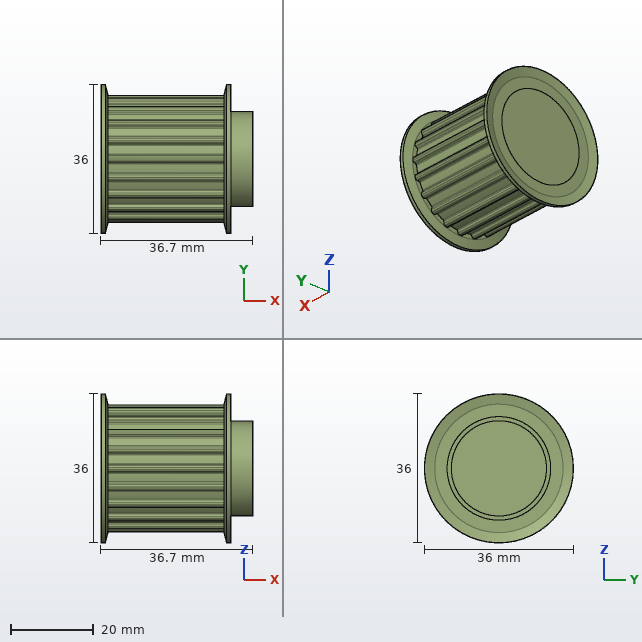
import cadquery as cq
import math

total_length = 36.67
toothed_length = 31.35
hub_diameter = 23.0

flange_diameter = 36.0
plate_diameter = 31.02
seat_diameter = 25.0
flange_thickness = 1.03
dish_depth = 0.65

tooth_count = 20
tip_diameter = 30.65
root_diameter = 28.45
tooth_tip_width = 1.25
flank_angle = 20.0
tip_fillet = 0.55
root_fillet = 0.3

tip_radius = tip_diameter / 2
root_radius = root_diameter / 2
left_plate_face = dish_depth
right_plate_face = toothed_length - dish_depth
teeth_start = left_plate_face + flange_thickness
teeth_end = right_plate_face - flange_thickness
teeth_length = teeth_end - teeth_start


def cylinder(diameter, start, end):
    """Solid cylinder on the X axis between two X positions."""
    return cq.Workplane("YZ", origin=(start, 0, 0)).circle(diameter / 2).extrude(end - start)


def long_edges_at(body, radius):
    """Edges parallel to X that lie at a given distance from the axis."""
    def lies_at_radius(edge):
        middle = edge.Center()
        return math.isclose(math.hypot(middle.y, middle.z), radius, abs_tol=0.005)

    return body.edges("|X").filter(lies_at_radius)


def make_tooth():
    """Sharp-edged tooth pointing along +Y, running from inside the root to beyond the tip."""
    inner = root_radius - root_fillet
    outer = tip_radius + tip_fillet
    slope = math.tan(math.radians(flank_angle))
    inner_half = tooth_tip_width / 2 + (tip_radius - inner) * slope
    outer_half = tooth_tip_width / 2 - (outer - tip_radius) * slope
    outline = [(inner, -inner_half), (outer, -outer_half), (outer, outer_half), (inner, inner_half)]
    return cq.Workplane("YZ", origin=(teeth_start, 0, 0)).polyline(outline).close().extrude(teeth_length)


def make_toothed_drum():
    """Root cylinder with the ring of rounded teeth."""
    drum = cylinder(root_diameter, teeth_start, teeth_end)
    tip_cylinder = cylinder(tip_diameter, teeth_start, teeth_end)
    tooth = make_tooth().intersect(tip_cylinder)
    for index in range(tooth_count):
        drum = drum.union(tooth.rotate((0, 0, 0), (1, 0, 0), index * 360 / tooth_count))
    drum = long_edges_at(drum, tip_radius).fillet(tip_fillet)
    return long_edges_at(drum, root_radius).fillet(root_fillet)


def make_pulley():
    """Toothed drum with a flange seat at each end and a plain hub on the +X side."""
    seats = cylinder(seat_diameter, left_plate_face, right_plate_face)
    hub = cylinder(hub_diameter, right_plate_face, total_length)
    return make_toothed_drum().union(seats).union(hub)


def make_flange(outer_face, inward):
    """Dished flange with its rim face at outer_face, dished in the direction inward (+1 or -1)."""
    seat = seat_diameter / 2
    plate = plate_diameter / 2
    rim = flange_diameter / 2
    section = [
        (dish_depth, seat),
        (dish_depth, plate),
        (0, rim),
        (flange_thickness, rim),
        (dish_depth + flange_thickness, plate),
        (dish_depth + flange_thickness, seat),
    ]
    points = [(outer_face + inward * depth, radius) for depth, radius in section]
    return cq.Workplane("XY").polyline(points).close().revolve(360, (0, 0, 0), (1, 0, 0))


pulley = make_pulley()
flanges = [make_flange(0, 1), make_flange(toothed_length, -1)]

result = cq.Compound.makeCompound([pulley.val(), *[flange.val() for flange in flanges]])